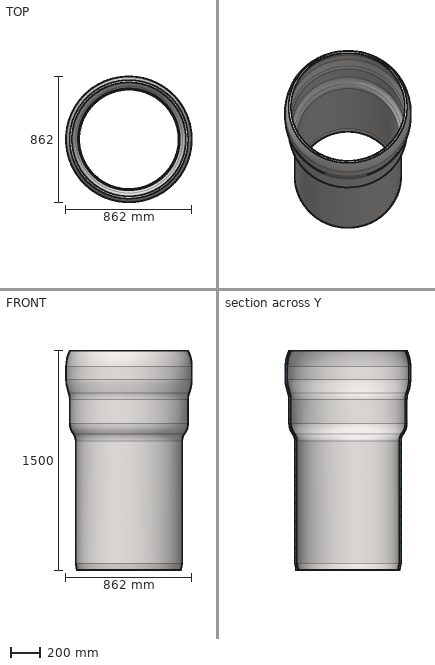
import cadquery as cq

total_height = 1500.0
rim_curve_start = 1394.0
bulge_bottom = 1304.0
upper_bend_middle = 1214.0
socket_top = 1168.0
socket_bottom = 1004.0
lower_bend_middle = 933.0
pipe_top = 884.0
taper_height = 46.0

bulge_diameters = (862.0, 830.0)
socket_diameters = (812.0, 780.0)
pipe_diameters = (730.0, 698.0)

taper_inset = 9.0


def bend_point(start_radius, end_radius, start_height, middle_height, end_height):
    """Point where the two tangent arcs of an S-bend between vertical walls meet."""
    fraction = (start_height - middle_height) / (start_height - end_height)
    radius = start_radius + fraction * (end_radius - start_radius)
    return radius, middle_height


def revolved_body(bulge_diameter, socket_diameter, pipe_diameter):
    """Solid of revolution about Z bounded by one skin of the pipe wall."""
    bulge = bulge_diameter / 2
    socket = socket_diameter / 2
    pipe = pipe_diameter / 2
    rim = socket
    upper_bend = bend_point(bulge, socket, bulge_bottom, upper_bend_middle, socket_top)
    lower_bend = bend_point(socket, pipe, socket_bottom, lower_bend_middle, pipe_top)

    profile = (
        cq.Workplane("XZ")
        .lineTo(pipe - taper_inset, 0)
        .lineTo(pipe, taper_height)
        .lineTo(pipe, pipe_top)
        .tangentArcPoint(lower_bend, relative=False)
        .tangentArcPoint((socket, socket_bottom), relative=False)
        .lineTo(socket, socket_top)
        .tangentArcPoint(upper_bend, relative=False)
        .tangentArcPoint((bulge, bulge_bottom), relative=False)
        .lineTo(bulge, rim_curve_start)
        .tangentArcPoint((rim, total_height), relative=False)
        .lineTo(0, total_height)
        .close()
    )
    return profile.revolve(360, (0, 0, 0), (0, 1, 0))


outer_diameters, inner_diameters = zip(bulge_diameters, socket_diameters, pipe_diameters)
outer_body = revolved_body(*outer_diameters)
bore = revolved_body(*inner_diameters)
result = outer_body.cut(bore)